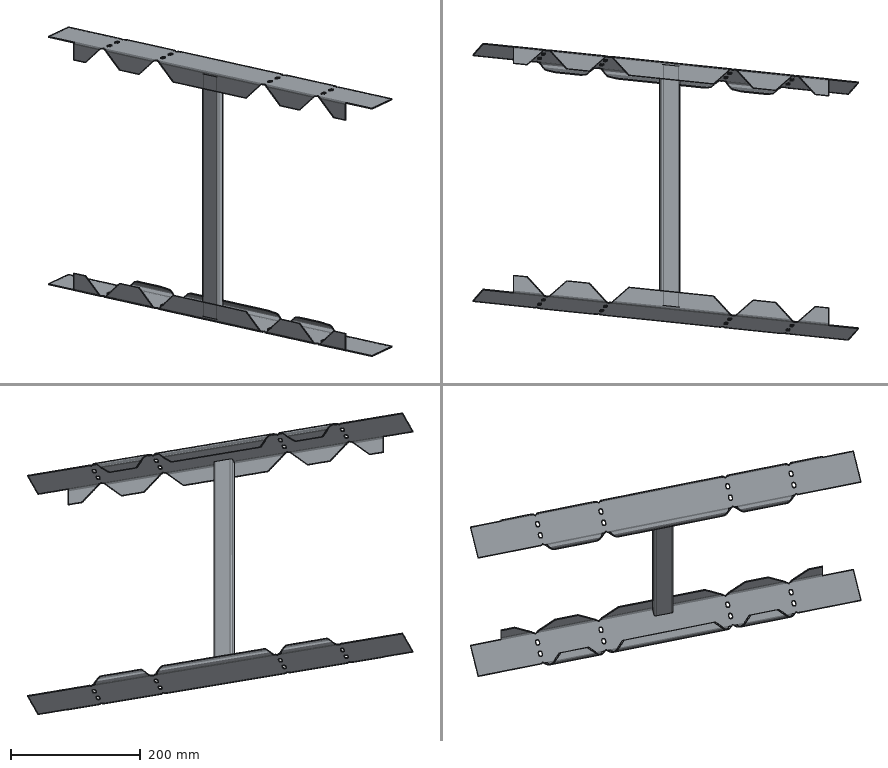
import cadquery as cq
import math

rail_length = 604.0
overall_depth = 64.0
overall_height = 404.0

sheet = 1.5
flange_bend = 2.5
flange_height = 28.5
flange_length = 507.5
lip_bend = 7.0
lip_wall = 1.0
hem_bend = 3.5
hem_turn = 60.0
hem_straight = 11.0

flange_bends = [(flange_bend, 90.0, flange_height - flange_bend)]
lip_bends = [(lip_bend, 90.0, lip_wall), (hem_bend, hem_turn, hem_straight)]

lip_length = 400.0
notch_pitch = lip_length / 4
notch_places = [step * notch_pitch for step in (-2, -1, 1, 2)]
notch_inset = 2.1
slot_length = 9.0
slot_width = 5.5
slot_spacing = 20.0
slot_pair_y = -2.5

post_width = 30.0
post_depth = 15.0
post_corner = 3.0
post_end_gap = 5.0

front = -overall_depth / 2
top = overall_height / 2
web_front = front + flange_bend
web_rear = overall_depth / 2 - lip_bend
curve_steps = 6


def walk_bends(bends, inset=0.0):
    """Follow a folded edge from its bend line, at a given depth below the outer face.

    Each bend gives (points along its arc, end of its straight, unfolded lengths up to those points,
    unfolded length up to the end). Points are (distance out from the bend line, drop from the web top).
    Unfolded lengths are measured along the outer face.
    """
    out, drop, heading, length = 0.0, inset, 0.0, 0.0
    walked = []
    for outer_radius, turn, straight in bends:
        radius = outer_radius - inset
        center_out = out - radius * math.sin(heading)
        center_drop = drop + radius * math.cos(heading)
        arc, arc_lengths = [], []
        for step in range(1, curve_steps + 1):
            turned = math.radians(turn) * step / curve_steps
            angle = heading + turned
            arc.append((center_out + radius * math.sin(angle), center_drop - radius * math.cos(angle)))
            arc_lengths.append(length + outer_radius * turned)
        heading += math.radians(turn)
        out = arc[-1][0] + straight * math.cos(heading)
        drop = arc[-1][1] + straight * math.sin(heading)
        length = arc_lengths[-1] + straight
        walked.append((arc, (out, drop), arc_lengths, length))
    return walked


def make_folded_edge(bends, bend_line, outward, length):
    """Sheet folded down from the web along a bend line, on the side given by outward (1 or -1)."""

    def place(point):
        return (bend_line + outward * point[0], top - point[1])

    middle = curve_steps // 2 - 1
    profile = cq.Workplane("YZ").moveTo(*place((0, 0)))
    for arc, end, _, _ in walk_bends(bends):
        profile = profile.threePointArc(place(arc[middle]), place(arc[-1])).lineTo(*place(end))
    inner = walk_bends(bends, sheet)
    profile = profile.lineTo(*place(inner[-1][1]))
    for index in reversed(range(len(inner))):
        arc = inner[index][0]
        arc_start = inner[index - 1][1] if index > 0 else (0, sheet)
        profile = profile.lineTo(*place(arc[-1])).threePointArc(place(arc[middle]), place(arc_start))
    return profile.close().extrude(length / 2, both=True)


def make_bend_notch(bends):
    """45-degree V notch, as cut in the flat sheet before its edge was folded down.

    Its half width grows with the unfolded length, so its sides are curved round the bends.
    """
    outline = cq.Workplane("XZ").moveTo(0, top).lineTo(notch_inset, top)
    for arc, end, arc_lengths, end_length in walk_bends(bends):
        curve = [(notch_inset + length, top - point[1]) for point, length in zip(arc, arc_lengths)]
        outline = outline.spline(curve, includeCurrent=True).lineTo(notch_inset + end_length, top - end[1])
    half_notch = outline.lineTo(0, top - end[1]).close().extrude(overall_depth, both=True)
    return half_notch.union(half_notch.mirror("YZ"))


def make_web_notch(bend_line, outward):
    """Point of a notch, where it reaches from a bend line into the flat web."""
    return (
        cq.Workplane("XY", origin=(0, 0, top - sheet))
        .moveTo(0, bend_line - outward * notch_inset)
        .lineTo(notch_inset, bend_line)
        .lineTo(-notch_inset, bend_line)
        .close()
        .extrude(sheet)
    )


def make_slot_pair():
    """Two round-ended slots through the web, in line with a notch."""
    return (
        cq.Workplane("XY", origin=(0, slot_pair_y, top - sheet))
        .pushPoints([(0, -slot_spacing / 2), (0, slot_spacing / 2)])
        .slot2D(slot_length, slot_width, 90)
        .extrude(sheet)
    )


def cut_along_rail(body, cutter):
    """Repeat one cut at every notch place."""
    for x in notch_places:
        body = body.cut(cutter.translate((x, 0, 0)))
    return body


def make_web():
    """Flat strip running the whole length of the rail, with its notch points and slots."""
    web = (
        cq.Workplane("XY")
        .box(rail_length, web_rear - web_front, sheet)
        .translate((0, (web_front + web_rear) / 2, top - sheet / 2))
    )
    for cutter in (make_web_notch(web_front, -1), make_web_notch(web_rear, 1), make_slot_pair()):
        web = cut_along_rail(web, cutter)
    return web


def make_top_rail():
    """Web with a notched front flange and a notched, hemmed rear lip."""
    flange = make_folded_edge(flange_bends, web_front, -1, flange_length)
    lip = make_folded_edge(lip_bends, web_rear, 1, lip_length)
    flange = cut_along_rail(flange, make_bend_notch(flange_bends))
    lip = cut_along_rail(lip, make_bend_notch(lip_bends))
    return make_web().union(flange).union(lip)


def make_post():
    """Upright standing against the inner faces of both front flanges."""
    return (
        cq.Workplane("XY")
        .box(post_width, post_depth, overall_height - 2 * post_end_gap)
        .edges("|Z")
        .fillet(post_corner)
        .translate((0, front + sheet + post_depth / 2, 0))
    )


top_rail = make_top_rail()
bottom_rail = top_rail.mirror("XY")
post = make_post()

result = cq.Compound.makeCompound([
    *top_rail.solids().vals(),
    *bottom_rail.solids().vals(),
    *post.solids().vals(),
])